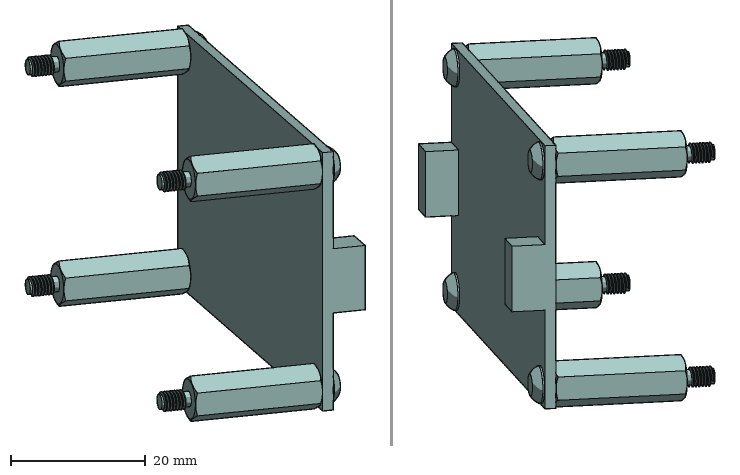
import cadquery as cq
import math

board_length = 66.85
board_height = 40.25
board_thickness = 1.7
block_length = 5.15
block_depth = 5.0
block_height = 10.0

hex_flats = 6.15
hex_length = 20.0
hex_end_diameter = 6.0
hex_chamfer_angle = 30.0
hex_points = 2 * hex_flats / math.sqrt(3)
standoff_spacing_x = board_length - hex_flats
standoff_spacing_z = 34.2

stud_length = 4.6
neck_length = 0.7
root_diameter = 2.35
thread_diameter = 3.0
thread_pitch = 0.5
ridge_foot_width = 0.5
ridge_crest_width = 0.1
ridge_sink = 0.1
ridge_tip_gap = 0.1

head_diameter = 5.7
head_top_diameter = 3.35
head_height = 1.6
head_rim_height = 0.3

hex_end_y = -hex_length

mount_points = [
    (side_x * standoff_spacing_x / 2, side_z * standoff_spacing_z / 2)
    for side_x in (-1, 1)
    for side_z in (-1, 1)
]


def turned(profile):
    """Close a half profile drawn in XY against the Y axis and spin it round that axis."""
    return profile.close().revolve(360, (0, 0, 0), (0, 1, 0))


def make_board():
    """Plate with a block at mid height on each end of its back face."""
    board = cq.Workplane("XY").box(
        board_length, board_thickness, board_height, centered=(True, False, True)
    )
    block_x = (board_length - block_length) / 2
    for side in (-1, 1):
        block = cq.Workplane("XY").box(
            block_length, block_depth, block_height, centered=(True, False, True)
        )
        board = board.union(block.translate((side * block_x, board_thickness, 0)))
    return board


def make_hex_body():
    """Hexagonal pillar with points up and down and both ends turned to a cone."""
    hexagon = (
        cq.Workplane("XZ")
        .transformed(rotate=(0, 0, 90))
        .polygon(6, hex_points)
        .extrude(hex_length)
    )
    end_radius = hex_end_diameter / 2
    point_radius = hex_points / 2
    cone_length = (point_radius - end_radius) * math.tan(math.radians(hex_chamfer_angle))
    chamfer_envelope = turned(
        cq.Workplane("XY")
        .lineTo(end_radius, 0)
        .lineTo(point_radius, -cone_length)
        .lineTo(point_radius, hex_end_y + cone_length)
        .lineTo(end_radius, hex_end_y)
        .lineTo(0, hex_end_y)
    )
    return hexagon.intersect(chamfer_envelope)


def make_thread_ridge():
    """Helical ridge about Z that starts at Z = 0 on the -Y side, with its foot sunk into the core."""
    foot_radius = root_diameter / 2 - ridge_sink
    crest_radius = thread_diameter / 2
    helix_height = stud_length - neck_length - ridge_tip_gap - ridge_foot_width
    helix = cq.Wire.makeHelix(thread_pitch, helix_height, foot_radius)
    section = (
        cq.Workplane("XZ")
        .moveTo(foot_radius, -ridge_foot_width / 2)
        .lineTo(crest_radius, -ridge_crest_width / 2)
        .lineTo(crest_radius, ridge_crest_width / 2)
        .lineTo(foot_radius, ridge_foot_width / 2)
        .close()
    )
    return section.sweep(cq.Workplane(obj=helix), isFrenet=True).rotate((0, 0, 0), (0, 0, 1), -90)


def make_stud():
    """Round core with the thread ridge on it, running from the pillar's end toward -Y."""
    core = cq.Workplane("XY").circle(root_diameter / 2).extrude(stud_length)
    ridge = make_thread_ridge().translate((0, 0, neck_length + ridge_foot_width / 2))
    stud = core.union(ridge)
    return stud.rotate((0, 0, 0), (1, 0, 0), 90).translate((0, hex_end_y, 0))


def make_standoff():
    """Hexagonal pillar and its threaded stud in one piece."""
    return make_hex_body().union(make_stud())


def make_screw_head():
    """Button head: a short straight rim under a rounded dome with a flat top."""
    rim_radius = head_diameter / 2
    top_radius = head_top_diameter / 2
    rim_y = board_thickness + head_rim_height
    top_y = board_thickness + head_height
    center_y = (top_y**2 + top_radius**2 - rim_y**2 - rim_radius**2) / (2 * (top_y - rim_y))
    dome_radius = math.hypot(rim_radius, rim_y - center_y)
    mid_y = (rim_y + top_y) / 2
    mid_radius = math.sqrt(dome_radius**2 - (mid_y - center_y) ** 2)
    return turned(
        cq.Workplane("XY")
        .moveTo(0, board_thickness)
        .lineTo(rim_radius, board_thickness)
        .lineTo(rim_radius, rim_y)
        .threePointArc((mid_radius, mid_y), (top_radius, top_y))
        .lineTo(0, top_y)
    )


board = make_board()
standoff = make_standoff()
standoffs = [standoff.translate((x, 0, z)) for x, z in mount_points]
screw_head = make_screw_head()
screw_heads = [screw_head.translate((x, 0, z)) for x, z in mount_points]

result = cq.Compound.makeCompound(
    [
        board.val(),
        *[copy.val() for copy in standoffs],
        *[copy.val() for copy in screw_heads],
    ]
)